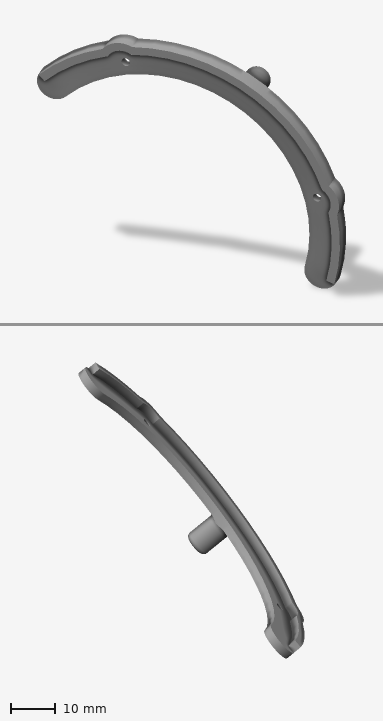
import cadquery as cq
import math

overall_length = 72.8
band_width = 8.0
start_angle = -14.6
end_angle = 135.4
middle_angle = (start_angle + end_angle) / 2
cap_radius = band_width / 2
end_cosine = -math.cos(math.radians(end_angle))
middle_radius = (overall_length - 2 * cap_radius) / (1 + end_cosine)
outer_radius = middle_radius + cap_radius
inner_radius = middle_radius - cap_radius

total_thickness = 4.0
floor_thickness = total_thickness / 2
lip_width = 2.0

feature_radius = 37.0
bulge_radius = 6.0
hole_diameter = 2.0
hole_angles = (15.4, 105.4)

pin_angle = middle_angle
pin_diameter = 6.0
pin_height = 8.0
pin_fillet = 1.0


def polar(radius, angle):
    """Point in the XZ plane at the given radius and angle in degrees."""
    return (radius * math.cos(math.radians(angle)), radius * math.sin(math.radians(angle)))


def front_workplane():
    """XZ plane whose positive extrusion runs from the back face towards -Y."""
    return cq.Workplane("XZ")


def disc(radius, angle, center_radius, depth):
    """Round plate centred at a polar position."""
    return front_workplane().center(*polar(center_radius, angle)).circle(radius).extrude(depth)


def arc_band(inner, outer, depth):
    """Ring sector with radial ends."""
    return (
        front_workplane()
        .moveTo(*polar(outer, start_angle))
        .threePointArc(polar(outer, middle_angle), polar(outer, end_angle))
        .lineTo(*polar(inner, end_angle))
        .threePointArc(polar(inner, middle_angle), polar(inner, start_angle))
        .close()
        .extrude(depth)
    )


def bulged_band(inset, depth):
    """Band with bulges, its outer edge moved inwards by the inset."""
    band = arc_band(inner_radius, outer_radius - inset, depth)
    for angle in hole_angles:
        band = band.union(disc(bulge_radius - inset, angle, feature_radius, depth))
    return band


def make_band():
    """Stepped band: a floor with round ends and a lip along its outer edge."""
    pocket_depth = total_thickness - floor_thickness
    pocket = bulged_band(lip_width, pocket_depth).translate((0, -floor_thickness, 0))
    opening = front_workplane().circle(inner_radius).extrude(total_thickness)
    band = bulged_band(0, total_thickness).cut(pocket).cut(opening)
    for angle in (start_angle, end_angle):
        band = band.union(disc(cap_radius, angle, middle_radius, floor_thickness))
    return band


def make_pin():
    """Pin with a rounded tip."""
    pin = disc(pin_diameter / 2, pin_angle, feature_radius, -pin_height)
    return pin.faces(">Y").edges().fillet(pin_fillet)


def make_pin_root():
    """Concave flare around the foot of the pin, trimmed to the edges of the band."""
    pin_x, pin_z = polar(feature_radius, pin_angle)
    pin_radius = pin_diameter / 2
    flare_radius = pin_radius + pin_fillet
    arc_offset = pin_fillet * math.sqrt(0.5)
    flare = (
        cq.Workplane("XY")
        .lineTo(flare_radius, 0)
        .threePointArc(
            (flare_radius - arc_offset, pin_fillet - arc_offset),
            (pin_radius, pin_fillet),
        )
        .lineTo(0, pin_fillet)
        .close()
        .revolve(360, (0, 0), (0, 1))
        .translate((pin_x, 0, pin_z))
    )
    return flare.intersect(arc_band(inner_radius, outer_radius, -pin_fillet))


def make_body():
    """Band with the pin rising from the back and the holes cut through."""
    body = make_band().union(make_pin()).union(make_pin_root())
    for angle in hole_angles:
        body = body.cut(disc(hole_diameter / 2, angle, feature_radius, total_thickness))
    return body


result = make_body()